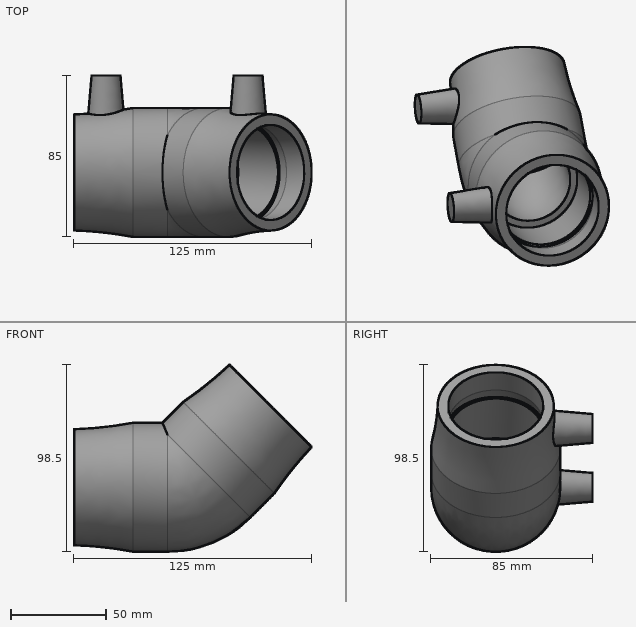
import cadquery as cq
import math


bend_angle = 45.0
straight_length = 49.0
mouth_to_corner = 60.55
bend_radius = (mouth_to_corner - straight_length) / math.tan(math.radians(bend_angle / 2))

body_radius = 68.0 / 2
mouth_radius = 61.2 / 2
flare_length = 31.1
flare_arc_radius = 200.0

socket_radius = 50.0 / 2
stop_radius = 42.4 / 2
undercut_start = 13.2
undercut_end = 19.6
undercut_radius = socket_radius + 1.3

post_tip_y = 51.0
post_tip_radius = 15.3 / 2
post_draft = 5.0
post_from_mouth = 16.8
post_root_y = socket_radius


def place_on_second_leg(shape):
    """Carry a shape from the first leg to the same place on the second leg."""
    corner = cq.Vector(mouth_to_corner, 0, 0)
    mirrored = shape.mirror("YZ", (mouth_to_corner, 0, 0))
    return mirrored.rotate(corner, corner + cq.Vector(0, -1, 0), bend_angle)


def leg_body():
    profile = (
        cq.Workplane("XZ")
        .lineTo(0, mouth_radius)
        .radiusArc((flare_length, body_radius), -flare_arc_radius)
        .lineTo(straight_length, body_radius)
        .lineTo(straight_length, 0)
        .close()
    )
    return profile.revolve(360, (0, 0, 0), (1, 0, 0))


def bend_body():
    half_chord = math.sqrt(body_radius**2 - bend_radius**2)
    section = (
        cq.Workplane("YZ", origin=(straight_length, 0, 0))
        .moveTo(-half_chord, bend_radius)
        .threePointArc((0, -body_radius), (half_chord, bend_radius))
        .close()
    )
    return section.revolve(bend_angle, (1, bend_radius, 0), (0, bend_radius, 0))


def bend_bore():
    section = cq.Workplane("YZ", origin=(straight_length, 0, 0)).circle(stop_radius)
    return section.revolve(bend_angle, (1, bend_radius, 0), (0, bend_radius, 0))


def socket_bore():
    socket = cq.Workplane("YZ").circle(socket_radius).extrude(straight_length)
    undercut = (
        cq.Workplane("XY")
        .moveTo(undercut_start, 0)
        .lineTo(undercut_start, socket_radius)
        .lineTo(undercut_end, undercut_radius)
        .lineTo(undercut_end, 0)
        .close()
        .revolve(360, (0, 0, 0), (1, 0, 0))
    )
    return socket.union(undercut)


def terminal_post():
    root_radius = post_tip_radius + (post_tip_y - post_root_y) * math.tan(math.radians(post_draft))
    profile = (
        cq.Workplane("XY", origin=(post_from_mouth, 0, 0))
        .moveTo(0, post_root_y)
        .lineTo(root_radius, post_root_y)
        .lineTo(post_tip_radius, post_tip_y)
        .lineTo(0, post_tip_y)
        .close()
    )
    return profile.revolve(360, (0, 0, 0), (0, 1, 0))


first_leg = leg_body().union(terminal_post())
body = first_leg.union(bend_body()).union(place_on_second_leg(first_leg))

first_bore = socket_bore()
result = body.cut(first_bore).cut(bend_bore()).cut(place_on_second_leg(first_bore))